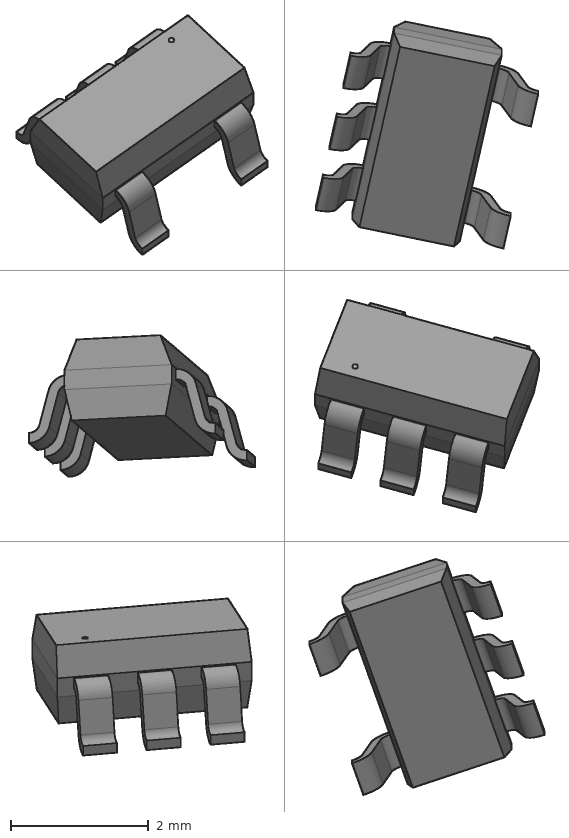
import cadquery as cq
import math


body_length = 2.9
body_width = 1.6
top_length = 2.855
top_width = 1.253
bottom_length = 2.813
bottom_width = 1.405
body_bottom_z = 0.255
waist_bottom_z = 0.713
waist_top_z = 1.0
body_top_z = 1.45

lead_span = 2.79
lead_width = 0.508
lead_thickness = 0.15
lead_top_z = 0.98
root_length = 0.012
lead_pitch = 0.95
inner_radius = lead_thickness
outer_radius = inner_radius + lead_thickness
leg_tilt = 15.0
bend_angle = 90.0 - leg_tilt

marker_diameter = 0.08
marker_depth = 0.03
marker_x = -0.445
marker_y = lead_pitch


def taper(low_z, low_width, low_length, high_z, high_width, high_length):
    """Block with flat sides between two centred rectangles."""
    return (
        cq.Workplane("XY", origin=(0, 0, low_z))
        .rect(low_width, low_length)
        .workplane(offset=high_z - low_z)
        .rect(high_width, high_length)
        .loft(ruled=True)
    )


def make_marker():
    return (
        cq.Workplane("XY", origin=(marker_x, marker_y, body_top_z - marker_depth))
        .circle(marker_diameter / 2)
        .extrude(marker_depth)
    )


def make_housing():
    lower = taper(body_bottom_z, bottom_width, bottom_length, waist_bottom_z, body_width, body_length)
    waist = taper(waist_bottom_z, body_width, body_length, waist_top_z, body_width, body_length)
    upper = taper(waist_top_z, body_width, body_length, body_top_z, top_width, top_length)
    marker_recess = make_marker()
    return lower.union(waist).union(upper).cut(marker_recess)


def on_arc(center, radius, angle):
    """Point on an arc, with the angle in degrees from +X towards +Z."""
    turn = math.radians(angle)
    return (center[0] + radius * math.cos(turn), center[1] + radius * math.sin(turn))


def make_lead(side, y):
    """Lead on the +X side (side = 1) or the -X side (side = -1), centred at y."""
    face_x = body_width / 2
    bend_x = face_x + root_length
    tip_x = lead_span / 2
    shoulder_center = (bend_x, lead_top_z - outer_radius)

    bend = math.radians(bend_angle)
    middle_radius = (inner_radius + outer_radius) / 2
    leg_height = lead_top_z - lead_thickness - 2 * middle_radius * (1 - math.cos(bend))
    leg_run = leg_height / math.tan(bend)
    foot_center = (bend_x + 2 * middle_radius * math.sin(bend) + leg_run, outer_radius)

    shoulder_start = 90
    shoulder_middle = shoulder_start - bend_angle / 2
    shoulder_end = shoulder_start - bend_angle
    foot_start = shoulder_end + 180
    foot_middle = shoulder_middle + 180
    foot_end = shoulder_start + 180

    profile = (
        cq.Workplane("XZ", origin=(0, y, 0))
        .moveTo(*on_arc(shoulder_center, outer_radius, shoulder_start))
        .threePointArc(
            on_arc(shoulder_center, outer_radius, shoulder_middle),
            on_arc(shoulder_center, outer_radius, shoulder_end),
        )
        .lineTo(*on_arc(foot_center, inner_radius, foot_start))
        .threePointArc(
            on_arc(foot_center, inner_radius, foot_middle),
            on_arc(foot_center, inner_radius, foot_end),
        )
        .lineTo(tip_x, lead_thickness)
        .lineTo(tip_x, 0)
        .lineTo(*on_arc(foot_center, outer_radius, foot_end))
        .threePointArc(
            on_arc(foot_center, outer_radius, foot_middle),
            on_arc(foot_center, outer_radius, foot_start),
        )
        .lineTo(*on_arc(shoulder_center, inner_radius, shoulder_end))
        .threePointArc(
            on_arc(shoulder_center, inner_radius, shoulder_middle),
            on_arc(shoulder_center, inner_radius, shoulder_start),
        )
        .lineTo(face_x, lead_top_z - lead_thickness)
        .lineTo(face_x, lead_top_z)
        .close()
    )
    lead = profile.extrude(lead_width / 2, both=True)
    return lead if side > 0 else lead.mirror("YZ")


housing = make_housing()
marker = make_marker()

lead_positions = [(-1, row * lead_pitch) for row in (-1, 0, 1)]
lead_positions += [(1, row * lead_pitch) for row in (-1, 1)]
leads = [make_lead(side, y).val() for side, y in lead_positions]

result = cq.Compound.makeCompound([housing.val(), marker.val(), *leads])